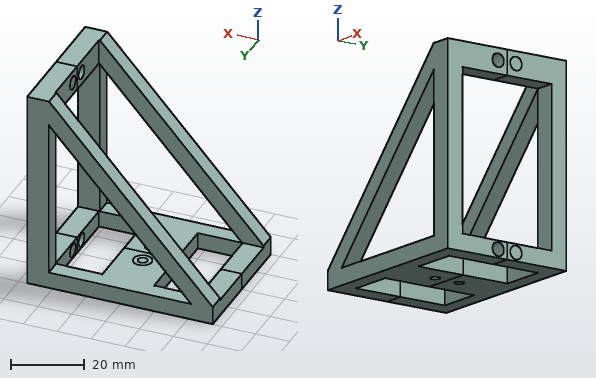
import cadquery as cq


LENGTH = 54.8
WIDTH = 40.0
HEIGHT = 59.05

FRAME_THICKNESS = 5.0
TOE_HEIGHT = 5.45
HEAD_LENGTH = 6.5
BASE_HEIGHT = 4.9
POST_LENGTH = 6.4
WINDOW_TOE_OFFSET = 6.4

BAR_LENGTH = 6.2
TOP_BAR_HEIGHT = 7.3
PLATE_LENGTH = 15.3
PLATE_FRONT_OFFSET = 19.4

BAR_HOLE_DIAMETER = 3.9
BAR_HOLE_Y = 3.0
TOP_HOLE_DROP = 3.55

SHANK_DIAMETER = 2.7
HEAD_DIAMETER = 5.3
HEAD_DEPTH = BASE_HEIGHT / 2
PLATE_HOLE_X = 0.1
PLATE_HOLE_Y = 4.1

FRONT_X = -LENGTH / 2
BACK_X = LENGTH / 2
BACK_BAR_X = BACK_X - BAR_LENGTH
POST_X = BACK_X - POST_LENGTH
WINDOW_TOE_X = FRONT_X + WINDOW_TOE_OFFSET
INNER_Y = WIDTH / 2 - FRAME_THICKNESS
BAR_HOLE_HEIGHTS = (BASE_HEIGHT / 2, HEIGHT - TOP_HOLE_DROP)

STRUT_SLOPE = (HEIGHT - TOE_HEIGHT) / (LENGTH - HEAD_LENGTH)
WINDOW_TOP = BASE_HEIGHT + STRUT_SLOPE * (POST_X - WINDOW_TOE_X)


def side_frame():
    """Triangular frame on the +Y side, with a triangular window."""
    outline = [
        (FRONT_X, 0),
        (BACK_X, 0),
        (BACK_X, HEIGHT),
        (BACK_X - HEAD_LENGTH, HEIGHT),
        (FRONT_X, TOE_HEIGHT),
    ]
    window = [
        (WINDOW_TOE_X, BASE_HEIGHT),
        (POST_X, BASE_HEIGHT),
        (POST_X, WINDOW_TOP),
    ]
    outer_face = cq.Workplane("XZ", origin=(0, WIDTH / 2, 0))
    return outer_face.polyline(outline).close().polyline(window).close().extrude(FRAME_THICKNESS)


def half_bar(front_x, length, bottom_z, height):
    """Bar from the middle plane to the inner face of the +Y frame."""
    bar = cq.Workplane("XY").box(length, INNER_Y, height, centered=False)
    return bar.translate((front_x, 0, bottom_z))


def bar_plug(z):
    """Round plug as long as the back bar that it fills."""
    front_face = cq.Workplane("YZ", origin=(BACK_BAR_X, BAR_HOLE_Y, z))
    return front_face.circle(BAR_HOLE_DIAMETER / 2).extrude(BAR_LENGTH)


def shank_plug():
    """Round plug over the full height of the plate."""
    bottom = cq.Workplane("XY", origin=(PLATE_HOLE_X, PLATE_HOLE_Y, 0))
    return bottom.circle(SHANK_DIAMETER / 2).extrude(BASE_HEIGHT)


def head_ring():
    """Ring around the shank plug that fills the counterbore flush with the plate."""
    seat = cq.Workplane("XY", origin=(PLATE_HOLE_X, PLATE_HOLE_Y, BASE_HEIGHT - HEAD_DEPTH))
    return seat.circle(HEAD_DIAMETER / 2).circle(SHANK_DIAMETER / 2).extrude(HEAD_DEPTH)


def bracket_half(plugs):
    """The +Y half: frame, half bars and half plate, with a hole for each plug."""
    bars = [
        half_bar(FRONT_X, BAR_LENGTH, 0, BASE_HEIGHT),
        half_bar(FRONT_X + PLATE_FRONT_OFFSET, PLATE_LENGTH, 0, BASE_HEIGHT),
        half_bar(BACK_BAR_X, BAR_LENGTH, 0, BASE_HEIGHT),
        half_bar(BACK_BAR_X, BAR_LENGTH, HEIGHT - TOP_BAR_HEIGHT, TOP_BAR_HEIGHT),
    ]
    half = side_frame()
    for bar in bars:
        half = half.union(bar)
    for plug in plugs:
        half = half.cut(plug)
    return half


bar_plugs = [bar_plug(z) for z in BAR_HOLE_HEIGHTS]
plate_plug = shank_plug()
plate_ring = head_ring()

plugged_half = bracket_half([*bar_plugs, plate_plug, plate_ring])
open_half = plugged_half.mirror("XZ")

result = cq.Compound.makeCompound(
    [
        *plugged_half.solids().vals(),
        *open_half.solids().vals(),
        *[plug.val() for plug in bar_plugs],
        plate_plug.val(),
        plate_ring.val(),
    ]
)